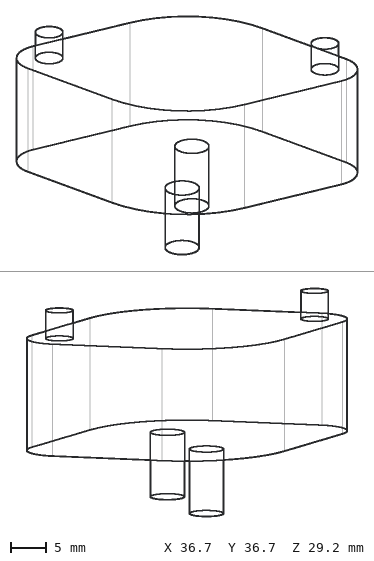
import cadquery as cq
import math

overall_width = 36.72
centre_radius = 15.97
lug_radius = 4.6
body_height = 16.0

top_pin_diameter = 3.9
top_pin_height = 4.0

bottom_pin_diameter = 4.8
bottom_pin_length = 9.2
bottom_pin_offset = 5.0

lug_offset = overall_width / 2 - lug_radius
lug_distance = lug_offset * math.sqrt(2)

tangent_angle = math.acos((centre_radius - lug_radius) / lug_distance)


def polar_point(radius, angle, along=0.0):
    """Point on a circle whose centre lies the given distance along X."""
    return (along + radius * math.cos(angle), radius * math.sin(angle))


def make_body():
    """Rounded diamond drawn with its lugs on X, then turned onto the diagonal."""
    opposite_angle = math.pi - tangent_angle
    outline = (
        cq.Workplane("XY")
        .moveTo(*polar_point(lug_radius, -tangent_angle, lug_distance))
        .threePointArc(
            (lug_distance + lug_radius, 0),
            polar_point(lug_radius, tangent_angle, lug_distance),
        )
        .lineTo(*polar_point(centre_radius, tangent_angle))
        .threePointArc((0, centre_radius), polar_point(centre_radius, opposite_angle))
        .lineTo(*polar_point(lug_radius, opposite_angle, -lug_distance))
        .threePointArc(
            (-lug_distance - lug_radius, 0),
            polar_point(lug_radius, -opposite_angle, -lug_distance),
        )
        .lineTo(*polar_point(centre_radius, -opposite_angle))
        .threePointArc((0, -centre_radius), polar_point(centre_radius, -tangent_angle))
        .close()
    )
    return outline.extrude(body_height).rotate((0, 0, 0), (0, 0, 1), 45)


def make_pins(points, diameter, base_height, length):
    """Round pins extruded from base_height; a negative length points down."""
    return (
        cq.Workplane("XY", origin=(0, 0, base_height))
        .pushPoints(points)
        .circle(diameter / 2)
        .extrude(length)
    )


top_pin_points = [(lug_offset, lug_offset), (-lug_offset, -lug_offset)]
bottom_pin_points = [
    (-bottom_pin_offset, bottom_pin_offset),
    (bottom_pin_offset, -bottom_pin_offset),
]

top_pins = make_pins(top_pin_points, top_pin_diameter, body_height, top_pin_height)
bottom_pins = make_pins(bottom_pin_points, bottom_pin_diameter, 0, -bottom_pin_length)

result = make_body().union(top_pins).union(bottom_pins)